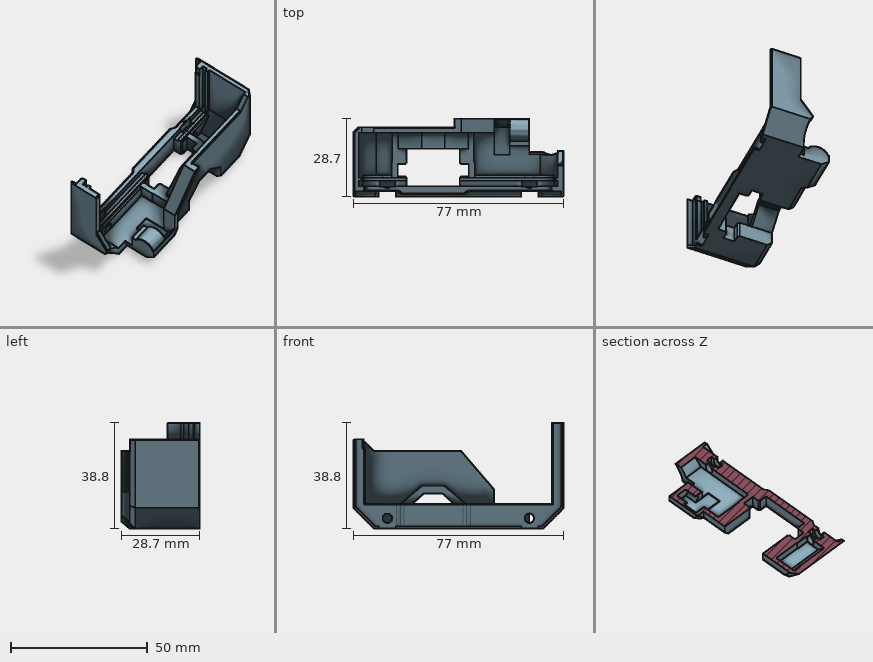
import math

import cadquery as cq

WIDTH = 77.0
DEPTH = 25.6
FULL_DEPTH = 28.7
HEIGHT = 38.8

MARGIN = 1.0

FLOOR = 2.0
LEFT_WALL = 1.95
RIGHT_WALL = 2.1
BACK_WALL_FRONT = 23.6
CORNER = 7.6
BACK_BEVEL = 1.9
LEFT_HEIGHT = 32.8
EDGE_BREAK = 0.4

RIGHT_TOP_DEPTH = 11.9
RIGHT_FOOT_DEPTH = 16.9
RIGHT_FOOT_TOP = 10.0
RIGHT_SLOPE_TOP = 17.1

BACK_HEIGHT = 28.5
BACK_DIP_X = 7.4
BACK_SLOPE_X = 39.4
BACK_END_X = 51.5
BACK_END_Z = 14.4

BUMP_LEFT = 37.0
BUMP_WALL = 1.7
BUMP_INNER_Z = 13.6
BUMP_END_X = 64.4
BUMP_BEVEL_HEIGHT = 2.6
BUMP_EDGE_CHAMFER = 1.8
BUMP_LIP_TOP = 5.8
BUMP_LIP = 0.4

FRAME_FRONT = 2.0
FRAME_BACK = 4.0
FRAME_INSET = 4.3
FRAME_TOP = 9.2
FRAME_CHAMFER = 0.45
RIM = 0.9
RIM_GAP_X = 9.3
RIM_GAP_WIDTH = 6.2
FLANGE_TRIM_Z = 29.7
FLANGE_TRIM = 0.55

BULGE_FRONT = 0.9
BULGE_START = 15.7
BULGE_END = 42.7
BULGE_RAMP = 2.7

SLOT_BACK = 5.85
RIB_BACK = 7.0
LEDGE_BACK = 7.9
LEDGE_TOP = 7.0
RIB_TOP = 8.0
RIB_INSET = 3.8
NUB = 0.95

SCREW_D = 3.4
SCREW_X = (12.4, 64.4)
SCREW_Z = 3.85
NUT_WIDTH = 5.7
NUT_RECESS = 0.25
GROOVE_DEPTH = 0.5

CENTRE_X = 29.2
BORDER_WIDTH = 29.9
BORDER_TOP = 7.2
BORDER_STEP = 0.2
BORDER_STEP_Y = 12.9
OPENING_WIDTH = 19.4
NOTCH_WIDTH = 25.9
NOTCH_FRONT = 7.6
NOTCH_BACK = 12.0
NOTCH_CHAMFER = 0.6
HOOD_FRONT = 17.6
HOOD_WIDTH = 25.6
HOOD_FOOT_Z = 8.4
HOOD_TOP = 15.7
HOOD_TOP_WIDTH = 8.3
TUNNEL_TOP = 12.9
TUNNEL_TOP_WIDTH = 6.8

AXIS_Y = 24.3
AXIS_Z = 4.5
BARREL_R = 4.4
BARREL_CHAMFER = 0.15
BORE_R = 2.2
SOCKET_R = 3.6
SOCKET_RISE = 0.4
BEARING_X = 57.3
BEARING_END_WALL = 2.0
BEARING_FRONT = 18.75
BEARING_BLOCK_TOP = 6.5
CLEARANCE_R = 9.0
POCKET_FRONT = 15.5
POCKET_DEPTH = 0.3


def box(x0, x1, y0, y1, z0, z1):
    return cq.Workplane("XY").box(x1 - x0, y1 - y0, z1 - z0, centered=False).translate((x0, y0, z0))


def prism_y(points, y0, y1):
    """Extrude an X-Z outline from y0 to y1."""
    return cq.Workplane("XZ", origin=(0, y0, 0)).polyline(points).close().extrude(y0 - y1)


def prism_x(points, x0, x1):
    """Extrude a Y-Z outline from x0 to x1."""
    return cq.Workplane("YZ", origin=(x0, 0, 0)).polyline(points).close().extrude(x1 - x0)


def cylinder_x(radius, y, z, x0, x1):
    return cq.Workplane("YZ", origin=(x0, y, z)).circle(radius).extrude(x1 - x0)


def edges_within(low, high):
    """Select edges whose centre lies inside a box given by two opposite corners, plus a margin."""
    low_corner = tuple(value - MARGIN for value in low)
    high_corner = tuple(value + MARGIN for value in high)
    return cq.selectors.BoxSelector(low_corner, high_corner)


def tub_outline(left=0.0, right=0.0, bottom=0.0):
    """Outer X-Z outline with 45 degree lower corners, moved inwards on its three closed sides."""
    corner = CORNER - (2 - math.sqrt(2)) * bottom
    right = WIDTH - right
    return [
        (left + corner, bottom),
        (right - corner, bottom),
        (right, bottom + corner),
        (right, HEIGHT),
        (left, HEIGHT),
        (left, bottom + corner),
    ]


def make_shell():
    """Open tub with a low left wall, a full-height right wall and a profiled back wall."""
    outer = prism_y(tub_outline(), 0, DEPTH)
    outer = outer.cut(box(0, WIDTH / 2, 0, DEPTH, LEFT_HEIGHT, HEIGHT))
    back_edges = edges_within((0, DEPTH, 0), (WIDTH / 2, DEPTH, LEFT_HEIGHT * 2 / 3))
    outer = outer.edges(back_edges).chamfer(BACK_BEVEL)
    top_left_edge = edges_within((0, DEPTH / 3, LEFT_HEIGHT), (0, DEPTH, LEFT_HEIGHT))
    outer = outer.edges(top_left_edge).chamfer(EDGE_BREAK)
    for side_x in (0, WIDTH):
        side_edge = edges_within((side_x, 0, HEIGHT / 3), (side_x, 0, HEIGHT * 2 / 3))
        outer = outer.edges(side_edge).chamfer(EDGE_BREAK)
    cavity_outline = tub_outline(LEFT_WALL, RIGHT_WALL, FLOOR)
    shell = outer.cut(prism_y(cavity_outline, FRAME_BACK, BACK_WALL_FRONT))

    above_back_wall = [
        (BACK_DIP_X - (LEFT_HEIGHT - BACK_HEIGHT), LEFT_HEIGHT),
        (BACK_DIP_X, BACK_HEIGHT),
        (BACK_SLOPE_X, BACK_HEIGHT),
        (BACK_END_X, BACK_END_Z),
        (BACK_END_X, FLOOR),
        (WIDTH, FLOOR),
        (WIDTH, HEIGHT),
        (0, HEIGHT),
        (0, LEFT_HEIGHT),
    ]
    shell = shell.cut(prism_y(above_back_wall, BACK_WALL_FRONT, DEPTH))
    middle_of_top = ((BACK_DIP_X + BACK_SLOPE_X) / 2, DEPTH, BACK_HEIGHT)
    back_top = edges_within(middle_of_top, middle_of_top)
    return shell.edges(back_top).chamfer(EDGE_BREAK)


def trim_right_end(body):
    """Shorten the right end behind its wall and clear a round space for the motor."""
    behind_wall = [
        (RIGHT_TOP_DEPTH, HEIGHT),
        (RIGHT_TOP_DEPTH, RIGHT_SLOPE_TOP),
        (RIGHT_FOOT_DEPTH, RIGHT_FOOT_TOP),
        (RIGHT_FOOT_DEPTH, 0),
        (FULL_DEPTH, 0),
        (FULL_DEPTH, HEIGHT),
    ]
    body = body.cut(prism_x(behind_wall, BUMP_END_X, WIDTH))
    slope_middle_y = (RIGHT_TOP_DEPTH + RIGHT_FOOT_DEPTH) / 2
    slope_edge = edges_within(
        (WIDTH, slope_middle_y, RIGHT_FOOT_TOP), (WIDTH, slope_middle_y, RIGHT_SLOPE_TOP)
    )
    top_edge = edges_within(
        (WIDTH - RIGHT_WALL, RIGHT_TOP_DEPTH, HEIGHT), (WIDTH - RIGHT_WALL / 2, RIGHT_TOP_DEPTH, HEIGHT)
    )
    body = body.edges(slope_edge).chamfer(EDGE_BREAK)
    body = body.edges(top_edge).chamfer(EDGE_BREAK)
    return body.cut(cylinder_x(CLEARANCE_R, AXIS_Y, AXIS_Z, BUMP_END_X, WIDTH))


def make_bump_bevel():
    """Wedge removed along the lower rear edge of the bump."""
    section = [(DEPTH, 0), (FULL_DEPTH, 0), (FULL_DEPTH, BUMP_BEVEL_HEIGHT)]
    return prism_x(section, BACK_END_X - BUMP_WALL, BUMP_END_X)


def make_bump():
    """Rib following the end of the back wall, standing on a floor with a bevelled rear edge."""
    inner_x = BACK_END_X - BUMP_WALL
    outline = [
        (BUMP_LEFT, BACK_HEIGHT),
        (BACK_SLOPE_X, BACK_HEIGHT),
        (BACK_END_X, BACK_END_Z),
        (BACK_END_X, 0),
        (inner_x, 0),
        (inner_x, BUMP_INNER_Z),
    ]
    rib = prism_y(outline, BACK_WALL_FRONT, FULL_DEPTH)
    floor_section = [
        (BACK_WALL_FRONT, 0),
        (FULL_DEPTH, 0),
        (FULL_DEPTH, BUMP_LIP_TOP),
        (FULL_DEPTH - BUMP_LIP, BUMP_LIP_TOP),
        (DEPTH, FLOOR - POCKET_DEPTH),
        (BACK_WALL_FRONT, FLOOR - POCKET_DEPTH),
    ]
    bump = rib.union(prism_x(floor_section, inner_x, BUMP_END_X))
    bump = bump.cut(make_bump_bevel())
    middle_of_bevel = (inner_x, (DEPTH + FULL_DEPTH) / 2, BUMP_BEVEL_HEIGHT / 2)
    bevel_end = edges_within(middle_of_bevel, middle_of_bevel)
    return bump.edges(bevel_end).chamfer(BUMP_EDGE_CHAMFER)


def cut_front_frame(body):
    """Recess the front face inside a thin rim, then open the frame with a chamfered edge."""
    body = body.cut(prism_y(tub_outline(RIM, RIM, RIM), 0, FRAME_FRONT))
    trim_x = FRAME_INSET - FLANGE_TRIM
    opening = [
        (FRAME_INSET, FRAME_TOP),
        (WIDTH - FRAME_INSET, FRAME_TOP),
        (WIDTH - FRAME_INSET, HEIGHT + MARGIN),
        (trim_x, HEIGHT + MARGIN),
        (trim_x, FLANGE_TRIM_Z),
        (FRAME_INSET, FLANGE_TRIM_Z),
    ]
    body = body.cut(prism_y(opening, 0, FRAME_BACK))
    chamfer = (
        cq.Workplane("XZ", origin=(0, FRAME_FRONT + FRAME_CHAMFER, 0))
        .polyline(opening)
        .close()
        .extrude(FRAME_CHAMFER, taper=-45)
    )
    body = body.cut(chamfer)
    for start in (RIM_GAP_X, WIDTH - RIM_GAP_X - RIM_GAP_WIDTH):
        body = body.cut(box(start, start + RIM_GAP_WIDTH, 0, FRAME_FRONT, 0, RIM))
    return body


def make_front_bulge():
    """Part of the front panel that steps forward through two S-shaped ramps."""
    mid_y = (FRAME_FRONT + BULGE_FRONT) / 2
    half = BULGE_RAMP / 2
    bulge = (
        cq.Workplane("XY")
        .moveTo(BULGE_START - half, FRAME_FRONT)
        .lineTo(BULGE_START, FRAME_FRONT)
        .tangentArcPoint((BULGE_START + half, mid_y), relative=False)
        .tangentArcPoint((BULGE_START + BULGE_RAMP, BULGE_FRONT), relative=False)
        .lineTo(BULGE_END - BULGE_RAMP, BULGE_FRONT)
        .tangentArcPoint((BULGE_END - half, mid_y), relative=False)
        .tangentArcPoint((BULGE_END, FRAME_FRONT), relative=False)
        .lineTo(BULGE_END, FRAME_BACK)
        .lineTo(BULGE_START - half, FRAME_BACK)
        .close()
        .extrude(FRAME_TOP)
    )
    front_top = edges_within(
        (BULGE_START - BULGE_RAMP, BULGE_FRONT, FRAME_TOP), (BULGE_END, FRAME_FRONT, FRAME_TOP)
    )
    return bulge.edges(front_top).chamfer(FRAME_CHAMFER)


def make_card_slot():
    """Ledge and rib behind the front panel, and a nub on each side wall, that hold a card."""
    within = prism_y(tub_outline(), FRAME_BACK, LEDGE_BACK)
    ledge = box(0, WIDTH, FRAME_BACK, LEDGE_BACK, 0, LEDGE_TOP).intersect(within)
    rib = box(RIB_INSET, WIDTH - RIB_INSET, SLOT_BACK, RIB_BACK, 0, RIB_TOP).intersect(within)
    left_nub = box(LEFT_WALL / 2, LEFT_WALL + NUB, SLOT_BACK, RIB_BACK, CORNER, LEFT_HEIGHT)
    right_nub_x = WIDTH - RIGHT_WALL - NUB
    right_nub = box(right_nub_x, WIDTH - RIGHT_WALL / 2, SLOT_BACK, RIB_BACK, CORNER, HEIGHT)
    return ledge.union(rib).union(left_nub).union(right_nub)


def make_border():
    """Raised block around the central opening, slightly wider in front, with the hood on top."""
    half = BORDER_WIDTH / 2
    border = box(CENTRE_X - half, CENTRE_X + half, SLOT_BACK, BACK_WALL_FRONT, FLOOR / 2, BORDER_TOP)
    half += BORDER_STEP
    border = border.union(
        box(CENTRE_X - half, CENTRE_X + half, SLOT_BACK, BORDER_STEP_Y, FLOOR / 2, BORDER_TOP)
    )
    half = HOOD_WIDTH / 2
    half_top = HOOD_TOP_WIDTH / 2
    hood = [
        (CENTRE_X - half, FLOOR),
        (CENTRE_X + half, FLOOR),
        (CENTRE_X + half, HOOD_FOOT_Z),
        (CENTRE_X + half_top, HOOD_TOP),
        (CENTRE_X - half_top, HOOD_TOP),
        (CENTRE_X - half, HOOD_FOOT_Z),
    ]
    return border.union(prism_y(hood, HOOD_FRONT, BACK_WALL_FRONT))


def make_central_opening():
    """Cut that passes down through the floor and back under the hood."""
    half = OPENING_WIDTH / 2
    half_top = TUNNEL_TOP_WIDTH / 2
    tunnel = [
        (CENTRE_X - half, 0),
        (CENTRE_X + half, 0),
        (CENTRE_X + half, BORDER_TOP),
        (CENTRE_X + half_top, TUNNEL_TOP),
        (CENTRE_X - half_top, TUNNEL_TOP),
        (CENTRE_X - half, BORDER_TOP),
    ]
    opening = prism_y(tunnel, HOOD_FRONT, DEPTH)
    opening = opening.union(
        box(CENTRE_X - half, CENTRE_X + half, FRAME_BACK, HOOD_FRONT, 0, HOOD_TOP)
    )
    half_notch = NOTCH_WIDTH / 2
    opening = opening.union(
        box(CENTRE_X - half_notch, CENTRE_X + half_notch, NOTCH_FRONT, NOTCH_BACK, 0, HOOD_TOP)
    )
    for side in (-half, half):
        for y in (NOTCH_FRONT, NOTCH_BACK):
            corner = (
                cq.Workplane("XY", origin=(CENTRE_X + side, y, 0))
                .rect(NOTCH_CHAMFER * math.sqrt(2), NOTCH_CHAMFER * math.sqrt(2))
                .extrude(HOOD_TOP)
                .rotate((CENTRE_X + side, y, 0), (CENTRE_X + side, y, 1), 45)
            )
            opening = opening.union(corner)
    return opening


def cut_screw_holes(body):
    """Front screw holes, each with a nut pocket behind the panel and a shallow groove in its top."""
    for x in SCREW_X:
        hole = cq.Workplane("XZ", origin=(x, 0, SCREW_Z)).circle(SCREW_D / 2).extrude(-LEDGE_BACK)
        half = NUT_WIDTH / 2
        recess = box(x - half, x + half, FRAME_BACK - NUT_RECESS, SLOT_BACK, SCREW_Z - half, FRAME_TOP)
        groove = (
            cq.Workplane("XY", origin=(x, (FRAME_BACK + SLOT_BACK) / 2, FRAME_TOP - GROOVE_DEPTH))
            .circle(SCREW_D / 2)
            .extrude(GROOVE_DEPTH)
            .intersect(box(0, WIDTH, 0, SLOT_BACK, 0, HEIGHT))
        )
        body = body.cut(hole).cut(recess).cut(groove)
    return body


def make_bearing():
    """Half-round bearing on a block, open below its cap."""
    block = box(BEARING_X, BUMP_END_X, BEARING_FRONT, FULL_DEPTH, 0, AXIS_Z)
    block = block.union(
        box(BEARING_X, BUMP_END_X, BEARING_FRONT, AXIS_Y, FLOOR, BEARING_BLOCK_TOP)
    )
    barrel = cylinder_x(BARREL_R, AXIS_Y, AXIS_Z, BEARING_X, BUMP_END_X)
    barrel = barrel.faces(">X").edges().chamfer(BARREL_CHAMFER)
    barrel = barrel.cut(box(0, WIDTH, 0, FULL_DEPTH, -HEIGHT, AXIS_Z))
    return block.union(barrel).cut(make_bump_bevel())


def make_bearing_bore():
    """Bore for the shaft under the cap, wider below the axis, that stays above the bevelled floor."""
    end = BUMP_END_X - BEARING_END_WALL
    socket = cylinder_x(SOCKET_R, AXIS_Y, AXIS_Z, BEARING_X, end)
    socket = socket.intersect(box(0, WIDTH, 0, FULL_DEPTH, FLOOR - POCKET_DEPTH, AXIS_Z + SOCKET_RISE))
    bore = cylinder_x(BORE_R, AXIS_Y, AXIS_Z, BEARING_X, end)
    above_floor = [
        (0, FLOOR - POCKET_DEPTH),
        (DEPTH, FLOOR - POCKET_DEPTH),
        (FULL_DEPTH - BUMP_LIP, BUMP_LIP_TOP),
        (FULL_DEPTH - BUMP_LIP, HEIGHT),
        (0, HEIGHT),
    ]
    return bore.union(socket).intersect(prism_x(above_floor, BEARING_X, end))


def make_pocket():
    """Shallow recess in the floor in front of the bump."""
    return box(BACK_END_X, BEARING_X, POCKET_FRONT, DEPTH, FLOOR - POCKET_DEPTH, FLOOR)


result = cut_front_frame(make_shell())
result = trim_right_end(result).cut(make_pocket()).union(make_bump())
result = result.union(make_front_bulge()).union(make_card_slot())
result = result.union(make_border()).cut(make_central_opening())
result = cut_screw_holes(result)
result = result.union(make_bearing()).cut(make_bearing_bore())